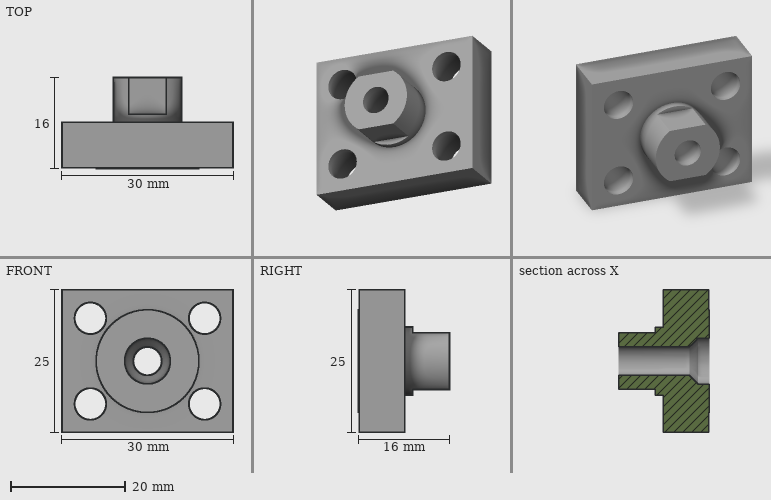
import cadquery as cq

plate_width = 30.0
plate_height = 25.0
plate_thickness = 8.0

pad_diameter = 18.0
pad_height = 0.15

overall_depth = 16.0
spigot_diameter = 12.0
spigot_length = overall_depth - pad_height - plate_thickness
flats_width = 10.0
flats_length = 6.45

mount_hole_diameter = 5.5
mount_spacing_x = 20.0
mount_spacing_z = 15.0

bore_diameter = 4.92
counterbore_diameter = 8.0
counterbore_depth = 2.0
cone_depth = (counterbore_diameter - bore_diameter) / 2


def cylinder(diameter, y_start, length):
    """Cylinder on the Y axis running from y_start towards +Y."""
    start_plane = cq.Workplane("XZ", origin=(0, y_start, 0))
    return start_plane.circle(diameter / 2).extrude(-length)


def make_plate():
    """Rectangular plate with four through holes."""
    plate = cq.Workplane("XY").box(plate_width, plate_thickness, plate_height)
    return (
        plate.translate((0, plate_thickness / 2, 0))
        .faces("<Y")
        .workplane(centerOption="CenterOfBoundBox")
        .rect(mount_spacing_x, mount_spacing_z, forConstruction=True)
        .vertices()
        .hole(mount_hole_diameter)
    )


def make_spigot():
    """Round spigot whose rear end is cut to a width across flats."""
    round_length = spigot_length - flats_length
    collar = cylinder(spigot_diameter, plate_thickness, round_length)
    end = cylinder(spigot_diameter, plate_thickness + round_length, flats_length)
    across_flats = cq.Workplane("XY").box(spigot_diameter, 2 * overall_depth, flats_width)
    return collar.union(end.intersect(across_flats))


def make_centre_bore():
    """Solid to be removed for the counterbore, cone and through hole."""
    front = -pad_height
    cone_start = front + counterbore_depth
    cone_end = cone_start + cone_depth
    counterbore_radius = counterbore_diameter / 2
    bore_radius = bore_diameter / 2
    half_section = [
        (0, front),
        (counterbore_radius, front),
        (counterbore_radius, cone_start),
        (bore_radius, cone_end),
        (bore_radius, front + overall_depth),
        (0, front + overall_depth),
    ]
    profile = cq.Workplane("XY").polyline(half_section).close()
    return profile.revolve(360, (0, 0, 0), (0, 1, 0))


pad = cylinder(pad_diameter, -pad_height, pad_height)
body = make_plate().union(pad).union(make_spigot())
result = body.cut(make_centre_bore())